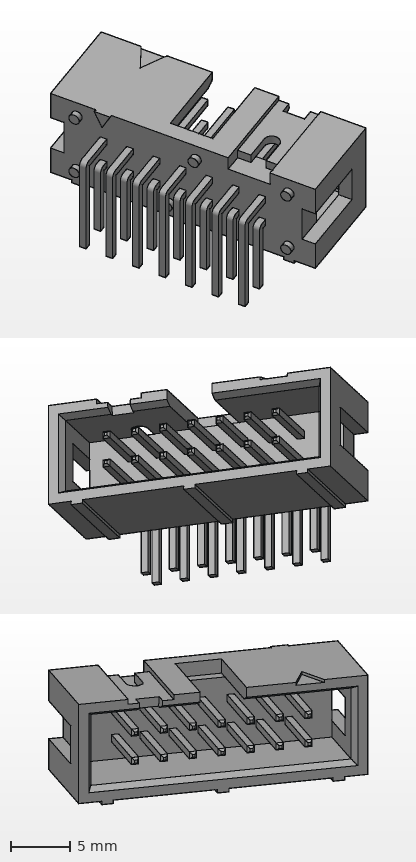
import cadquery as cq


length = 25.4
depth = 8.9
height = 8.9
wall = 1.27
base_thickness = 2.51
mouth_chamfer_depth = 0.7
mouth_chamfer_rise = 0.38
cavity_height = height - 2 * wall
cavity_length = length - 2 * wall
mid_z = height / 2

window_height = 3.4
window_depth = 6.43

key_width = 4.06
key_rear = 1.52

channel_x = 6.35
channel_width = 4.01
channel_depth = 0.43
step_length = 1.65
latch_slot_width = 1.45
latch_slot_end = 4.7
notch_width = 2.05
notch_draft = 0.05
notch_depth = 1.05

pin_count = 7
pitch = 2.55
pin = 0.64
pin_end = 8.45
tip_length = 0.23
tip_size = 0.25
bend_radius = 0.48
pin_bottom = -3.5
lower_leg_y = -1.1
first_pin_x = -pitch * (pin_count - 1) / 2

peg_diameter = 1.0
peg_length = 0.53
peg_x = 10.15
inner_peg_x = 1.27
peg_row_offset = 3.0
rib_width = 1.02
rib_height = 0.3
top_mark_width = 2.5
top_mark_length = 2.45
top_mark_depth = 0.25
rear_mark_width = 1.52
rear_mark_length = 1.5
rear_mark_height = 0.25


def block(x_center, x_size, y_start, y_end, z_start, z_end):
    """Box centred on x_center, between the given Y and Z limits."""
    return (
        cq.Workplane("XY")
        .box(x_size, y_end - y_start, z_end - z_start, centered=(True, False, False))
        .translate((x_center, y_start, z_start))
    )


def cavity():
    """Mating cavity, flared along all four edges of its mouth."""
    flare_start = depth - mouth_chamfer_depth
    straight = block(0, cavity_length, base_thickness, flare_start, wall, height - wall)
    flare = (
        cq.Workplane("XZ", origin=(0, flare_start, mid_z))
        .rect(cavity_length, cavity_height)
        .workplane(offset=-mouth_chamfer_depth)
        .rect(cavity_length + 2 * mouth_chamfer_rise, cavity_height + 2 * mouth_chamfer_rise)
        .loft()
    )
    return straight.union(flare)


def end_windows():
    """Openings through both end walls, cut as deep as the walls are thick."""
    z_start = mid_z - window_height / 2
    z_end = mid_z + window_height / 2
    end_x = (length - wall) / 2
    left = block(-end_x, wall, 0, window_depth, z_start, z_end)
    right = block(end_x, wall, 0, window_depth, z_start, z_end)
    return left.union(right)


def key_slot():
    return block(0, key_width, key_rear, depth, height - wall, height)


def latch_channel():
    """Stepped channel with a round-ended slot and a drafted notch at the mouth."""
    floor = height - wall
    shallow = block(channel_x, channel_width, 0, depth, height - channel_depth, height)
    step = block(channel_x, channel_width, 0, step_length, floor, height)

    radius = latch_slot_width / 2
    arc_center_y = latch_slot_end - radius
    slot = block(channel_x, latch_slot_width, 0, arc_center_y, floor, height)
    slot_end = (
        cq.Workplane("XY", origin=(channel_x, arc_center_y, floor)).circle(radius).extrude(wall)
    )

    half_top = notch_width / 2
    half_bottom = half_top - notch_draft
    notch = (
        cq.Workplane("XZ", origin=(channel_x, depth, 0))
        .moveTo(-half_bottom, floor)
        .lineTo(half_bottom, floor)
        .lineTo(half_top, height - channel_depth)
        .lineTo(-half_top, height - channel_depth)
        .close()
        .extrude(notch_depth)
    )
    return shallow.union(step).union(slot).union(slot_end).union(notch)


def top_mark():
    """Recessed triangle on the top face, pointing from the mouth to pin one."""
    half = top_mark_width / 2
    return (
        cq.Workplane("XY", origin=(first_pin_x, depth, height))
        .polyline([(-half, 0), (half, 0), (0, -top_mark_length)])
        .close()
        .extrude(-top_mark_depth)
    )


def rear_mark():
    """Raised triangle on the rear face above pin one."""
    half = rear_mark_width / 2
    return (
        cq.Workplane("XZ", origin=(first_pin_x, 0, height))
        .polyline([(-half, 0), (half, 0), (0, -rear_mark_length)])
        .close()
        .extrude(rear_mark_height)
    )


def pegs():
    """Round standoffs on the rear face: four at the corners, two staggered inside."""
    upper = mid_z + peg_row_offset
    lower = mid_z - peg_row_offset
    places = [(x, z) for x in (-peg_x, peg_x) for z in (lower, upper)]
    places += [(inner_peg_x, upper), (-inner_peg_x, lower)]
    return cq.Workplane("XZ").pushPoints(places).circle(peg_diameter / 2).extrude(peg_length)


def bent_pin(x, z, leg_y):
    """Square pin along Y at height z, bent down with the outside of its leg at leg_y."""
    top = z + pin / 2
    bottom = z - pin / 2
    body = (
        cq.Workplane("YZ", origin=(x, 0, 0))
        .moveTo(pin_end, top)
        .lineTo(leg_y + bend_radius, top)
        .radiusArc((leg_y, top - bend_radius), -bend_radius)
        .lineTo(leg_y, pin_bottom)
        .lineTo(leg_y + pin, pin_bottom)
        .lineTo(leg_y + pin, bottom)
        .lineTo(pin_end, bottom)
        .close()
        .extrude(pin / 2, both=True)
    )
    tip = (
        cq.Workplane("XZ", origin=(x, pin_end, z))
        .rect(pin, pin)
        .workplane(offset=-tip_length)
        .rect(tip_size, tip_size)
        .loft()
    )
    return body.union(tip)


housing = block(0, length, 0, depth, 0, height)
for void in (cavity(), end_windows(), key_slot(), latch_channel(), top_mark()):
    housing = housing.cut(void)

for rib_x in (-peg_x, 0, peg_x):
    housing = housing.union(block(rib_x, rib_width, 0, depth, -rib_height, 0))
result = housing.union(rear_mark()).union(pegs())

for i in range(pin_count):
    pin_x = first_pin_x + i * pitch
    result = result.union(bent_pin(pin_x, mid_z - pitch / 2, lower_leg_y))
    result = result.union(bent_pin(pin_x, mid_z + pitch / 2, lower_leg_y - pitch))